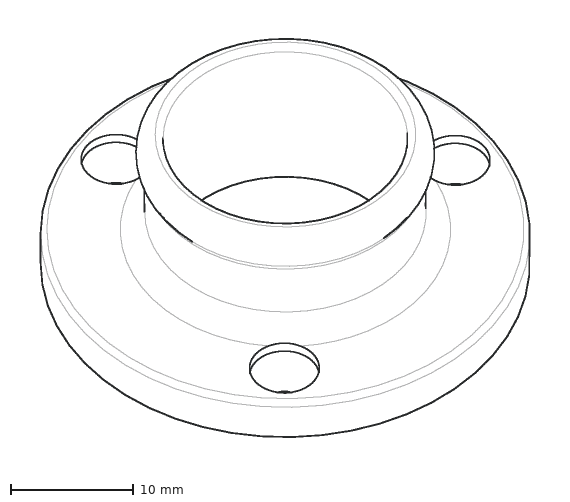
import cadquery as cq
import math

flange_radius = 20.0
flange_thickness = 4.0
flange_edge_fillet = 0.5

bore_radius = 10.0
neck_radius = 11.5
neck_base_fillet = 2.0

bead_center_height = 12.9
bead_outer_radius = 12.2
bead_section_radius = bead_outer_radius - bore_radius
bead_rim_fillet = 0.5
bead_underside_fillet = 0.8

hole_count = 3
hole_circle_radius = 16.0
first_hole_angle = 90.0
hole_radius = 1.2
head_radius = 2.85
head_recess_depth = 0.9
countersink_depth = 3.0


def point_on_arc(center, radius, angle):
    """Point on a circle, at an angle in radians from the first axis of its plane."""
    return (center[0] + radius * math.cos(angle), center[1] + radius * math.sin(angle))


def make_body():
    """Flange, neck and bead as one profile (r, z) revolved about Z."""
    bead_center = (bore_radius, bead_center_height)

    rim_offset = bead_section_radius - bead_rim_fillet
    rim_angle = math.acos(bead_rim_fillet / rim_offset)
    rim_center = point_on_arc(bead_center, rim_offset, rim_angle)

    under_offset = bead_section_radius + bead_underside_fillet
    under_run = neck_radius + bead_underside_fillet - bore_radius
    under_angle = -math.acos(under_run / under_offset)
    under_center = point_on_arc(bead_center, under_offset, under_angle)

    neck_top = (neck_radius, under_center[1])
    under_mid_angle = math.pi + under_angle / 2
    under_mid = point_on_arc(under_center, bead_underside_fillet, under_mid_angle)
    bead_bottom = point_on_arc(bead_center, bead_section_radius, under_angle)
    bead_mid = point_on_arc(bead_center, bead_section_radius, 0.0)
    bead_top = point_on_arc(bead_center, bead_section_radius, rim_angle)
    rim_mid = point_on_arc(rim_center, bead_rim_fillet, (rim_angle + math.pi) / 2)

    base_center = (neck_radius + neck_base_fillet, flange_thickness + neck_base_fillet)
    base_mid = point_on_arc(base_center, neck_base_fillet, math.radians(225))
    edge_center = (flange_radius - flange_edge_fillet, flange_thickness - flange_edge_fillet)
    edge_mid = point_on_arc(edge_center, flange_edge_fillet, math.radians(45))

    profile = (
        cq.Workplane("XZ")
        .moveTo(bore_radius, 0)
        .lineTo(flange_radius, 0)
        .lineTo(flange_radius, edge_center[1])
        .threePointArc(edge_mid, (edge_center[0], flange_thickness))
        .lineTo(base_center[0], flange_thickness)
        .threePointArc(base_mid, (neck_radius, base_center[1]))
        .lineTo(*neck_top)
        .threePointArc(under_mid, bead_bottom)
        .threePointArc(bead_mid, bead_top)
        .threePointArc(rim_mid, (bore_radius, rim_center[1]))
        .close()
    )
    return profile.revolve(360, (0, 0, 0), (0, 1, 0))


def make_hole_cutter():
    """Through hole, conical countersink and head recess, revolved about Z."""
    cone_top = flange_thickness - head_recess_depth
    cutter_top = flange_thickness + neck_base_fillet
    profile = (
        cq.Workplane("XZ")
        .lineTo(hole_radius, 0)
        .lineTo(hole_radius, cone_top - countersink_depth)
        .lineTo(head_radius, cone_top)
        .lineTo(head_radius, cutter_top)
        .lineTo(0, cutter_top)
        .close()
    )
    return profile.revolve(360, (0, 0, 0), (0, 1, 0))


def cut_screw_holes(body):
    """Cut the evenly spaced screw holes through the flange."""
    cutter = make_hole_cutter()
    for index in range(hole_count):
        angle = math.radians(first_hole_angle + index * 360.0 / hole_count)
        x, y = point_on_arc((0, 0), hole_circle_radius, angle)
        body = body.cut(cutter.translate((x, y, 0)))
    return body


result = cut_screw_holes(make_body())